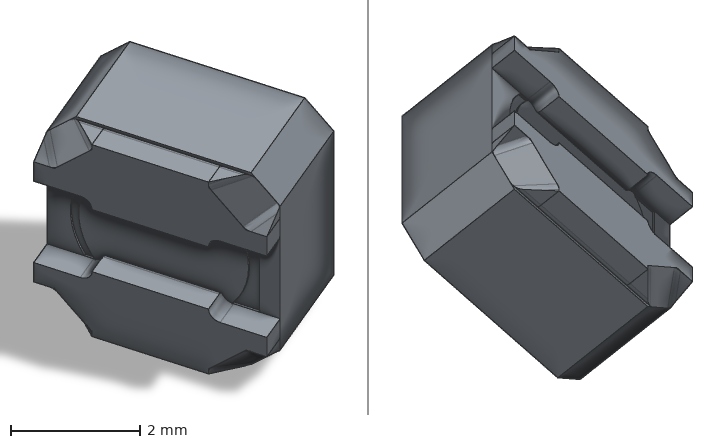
import cadquery as cq

WIDTH = 4.0
TOTAL_DEPTH = 2.4
CORNER_CHAMFER = 0.5
TERMINAL_THICKNESS = 0.48
HALF_WIDTH = WIDTH / 2
CHAMFER_START = HALF_WIDTH - CORNER_CHAMFER
BACK_Y = TOTAL_DEPTH / 2
FRONT_Y = -TOTAL_DEPTH / 2
HOUSING_FRONT_Y = FRONT_Y + TERMINAL_THICKNESS

DISC_RADIUS = 1.455
RECESS_RADIUS = 1.6
RECESS_RIGHT_X = 1.65
RECESS_DEPTH = 0.04

TONGUE_HALF_LENGTH = 1.0
TONGUE_INNER_Z = 0.65
NOTCH_RADIUS = 0.2
ARM_INNER_Z = TONGUE_INNER_Z + NOTCH_RADIUS
ARM_OUTER_Z = 1.25
END_STEP = 0.105
SHOULDER_Z = HALF_WIDTH - END_STEP
SHOULDER_X = TONGUE_HALF_LENGTH + SHOULDER_Z - ARM_OUTER_Z
BACK_EDGE_RADIUS = 0.095

TROUGH_RADIUS = 0.2
TROUGH_REACH = WIDTH


def y_extrusion(sketch_y):
    """Workplane at sketch_y with local axes +X and +Z; positive extrusions go toward -Y."""
    return cq.Workplane("XZ", origin=(0, sketch_y, 0))


def octagon_prism(back_y, depth):
    """Square block with its four corners chamfered, running from back_y toward -Y."""
    square = y_extrusion(back_y).rect(WIDTH, WIDTH).extrude(depth)
    return square.edges("|Y").chamfer(CORNER_CHAMFER)


def make_housing():
    block = octagon_prism(BACK_Y, BACK_Y - HOUSING_FRONT_Y)
    front = y_extrusion(HOUSING_FRONT_Y)
    round_part = front.circle(RECESS_RADIUS).extrude(-RECESS_DEPTH)
    square_part = (
        front.center(RECESS_RIGHT_X / 2, 0)
        .rect(RECESS_RIGHT_X, 2 * ARM_INNER_Z)
        .extrude(-RECESS_DEPTH)
    )
    band = front.rect(WIDTH, 2 * ARM_INNER_Z).extrude(-RECESS_DEPTH)
    disc_seat = front.circle(DISC_RADIUS).extrude(-RECESS_DEPTH)
    recess = round_part.union(square_part).intersect(band)
    return block.cut(recess).cut(disc_seat)


def make_disc():
    return y_extrusion(HOUSING_FRONT_Y).circle(DISC_RADIUS).extrude(-RECESS_DEPTH)


def front_layer():
    """Octagonal layer in front of the housing, its upper back edge rounded."""
    layer = octagon_prism(HOUSING_FRONT_Y, TERMINAL_THICKNESS)
    return layer.faces(">Z").edges(">Y").fillet(BACK_EDGE_RADIUS)


def terminal_prism():
    """Upper terminal: a wide tongue with an arm to each side."""
    arc_offset = NOTCH_RADIUS * 0.5**0.5
    arm_start = TONGUE_HALF_LENGTH + NOTCH_RADIUS
    arc_x = arm_start - arc_offset
    arc_z = TONGUE_INNER_Z + arc_offset
    prism = (
        y_extrusion(HOUSING_FRONT_Y)
        .moveTo(-TONGUE_HALF_LENGTH, TONGUE_INNER_Z)
        .lineTo(TONGUE_HALF_LENGTH, TONGUE_INNER_Z)
        .threePointArc((arc_x, arc_z), (arm_start, ARM_INNER_Z))
        .lineTo(HALF_WIDTH, ARM_INNER_Z)
        .lineTo(HALF_WIDTH, ARM_OUTER_Z)
        .lineTo(SHOULDER_X, ARM_OUTER_Z)
        .lineTo(TONGUE_HALF_LENGTH, SHOULDER_Z)
        .lineTo(TONGUE_HALF_LENGTH, HALF_WIDTH)
        .lineTo(-TONGUE_HALF_LENGTH, HALF_WIDTH)
        .lineTo(-TONGUE_HALF_LENGTH, SHOULDER_Z)
        .lineTo(-SHOULDER_X, ARM_OUTER_Z)
        .lineTo(-HALF_WIDTH, ARM_OUTER_Z)
        .lineTo(-HALF_WIDTH, ARM_INNER_Z)
        .lineTo(-arm_start, ARM_INNER_Z)
        .threePointArc((-arc_x, arc_z), (-TONGUE_HALF_LENGTH, TONGUE_INNER_Z))
        .close()
        .extrude(TERMINAL_THICKNESS)
    )
    inner_back_edge = cq.selectors.NearestToPointSelector((0, HOUSING_FRONT_Y, TONGUE_INNER_Z))
    return prism.edges(inner_back_edge).fillet(BACK_EDGE_RADIUS)


def trough_outline(y, upper_bend, lower_bend):
    """Wire around the open space outside the corner filling, at one depth."""
    upper_x, upper_z = upper_bend
    lower_x, lower_z = lower_bend
    return cq.Wire.makePolygon(
        [
            cq.Vector(upper_x, y, TROUGH_REACH),
            cq.Vector(upper_x, y, upper_z),
            cq.Vector(lower_x, y, lower_z),
            cq.Vector(TROUGH_REACH, y, lower_z),
            cq.Vector(TROUGH_REACH, y, TROUGH_REACH),
        ],
        close=True,
    )


def corner_trough():
    """Sloping cutter from the terminal's front edges back to the housing's corner chamfer."""
    front_upper = (TONGUE_HALF_LENGTH, SHOULDER_Z)
    front_lower = (SHOULDER_X, ARM_OUTER_Z)
    back_upper = (CHAMFER_START, HALF_WIDTH)
    back_lower = (HALF_WIDTH, CHAMFER_START)
    front_wire = trough_outline(FRONT_Y, front_upper, front_lower)
    back_wire = trough_outline(HOUSING_FRONT_Y, back_upper, back_lower)
    trough = cq.Workplane(cq.Solid.makeLoft([front_wire, back_wire], True))
    for (front_x, front_z), (back_x, back_z) in ((front_upper, back_upper), (front_lower, back_lower)):
        middle = (
            (front_x + back_x) / 2,
            (FRONT_Y + HOUSING_FRONT_Y) / 2,
            (front_z + back_z) / 2,
        )
        trough = trough.edges(cq.selectors.NearestToPointSelector(middle)).fillet(TROUGH_RADIUS)
    return trough


def make_upper_terminal():
    return terminal_prism().intersect(front_layer())


def make_upper_corner_filling():
    """Filling at the upper right corner, between terminal, housing and trough."""
    width = HALF_WIDTH - TONGUE_HALF_LENGTH
    height = HALF_WIDTH - ARM_OUTER_Z
    corner = (
        y_extrusion(HOUSING_FRONT_Y)
        .center(HALF_WIDTH - width / 2, HALF_WIDTH - height / 2)
        .rect(width, height)
        .extrude(TERMINAL_THICKNESS)
    )
    return corner.intersect(front_layer()).cut(terminal_prism()).cut(corner_trough())


housing = make_housing()
disc = make_disc()

upper_terminal = make_upper_terminal()
terminals = [upper_terminal, upper_terminal.mirror("XY")]

upper_right_filling = make_upper_corner_filling()
corner_fillings = []
for filling in (upper_right_filling, upper_right_filling.mirror("YZ")):
    corner_fillings.append(filling)
    corner_fillings.append(filling.mirror("XY"))

result = cq.Compound.makeCompound(
    [
        housing.val(),
        disc.val(),
        *[terminal.val() for terminal in terminals],
        *[filling.val() for filling in corner_fillings],
    ]
)